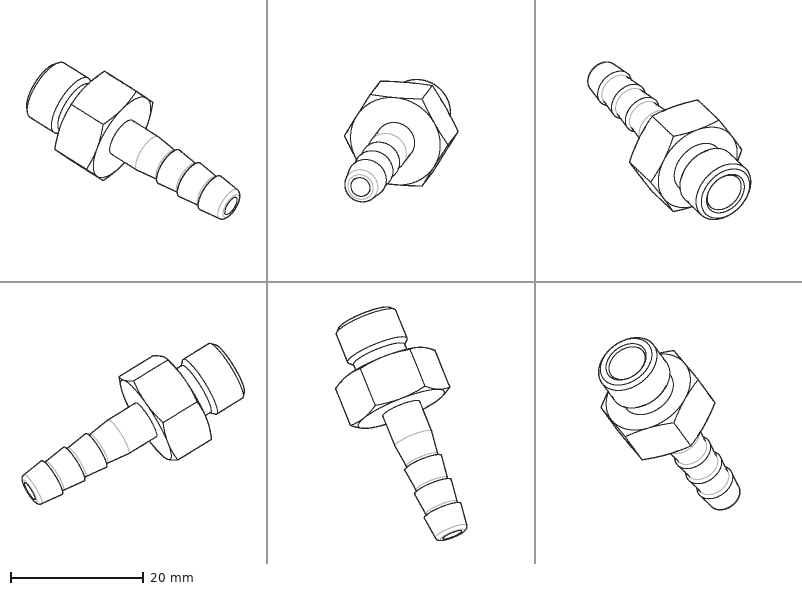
import cadquery as cq
import math

length = 36.0

thread_diameter = 9.72
thread_lead_chamfer = 0.58
thread_end = 5.25
neck_diameter = 8.35

hex_start = 8.0
hex_end = 15.0
hex_across_flats = 14.0
hex_chamfer_angle = 22.0

tail_diameter = 6.0
barb_count = 4
barb_pitch = 4.0
barb_start = length - barb_count * barb_pitch
barb_taper_angle = 7.0
tip_fillet = 0.6

small_bore_diameter = 3.0
large_bore_diameter = 6.0
mouth_diameter = 6.7
large_bore_depth = 10.8
drill_point_angle = 90.0


def revolve_about_x(points):
    """Solid of revolution about X from (x, radius) points."""
    profile = cq.Workplane("XY").polyline(points).close()
    return profile.revolve(360, (0, 0, 0), (1, 0, 0))


def make_threaded_end():
    thread_radius = thread_diameter / 2
    neck_radius = neck_diameter / 2
    neck_start = thread_end + thread_radius - neck_radius
    return revolve_about_x([
        (0, 0),
        (0, thread_radius - thread_lead_chamfer),
        (thread_lead_chamfer, thread_radius),
        (thread_end, thread_radius),
        (neck_start, neck_radius),
        (hex_end, neck_radius),
        (hex_end, 0),
    ])


def make_hexagon():
    flat_radius = hex_across_flats / 2
    corner_radius = flat_radius / math.cos(math.pi / 6)
    prism = (
        cq.Workplane("YZ", origin=(hex_start, 0, 0))
        .polygon(6, 2 * corner_radius)
        .extrude(hex_end - hex_start)
    )
    middle = (hex_start + hex_end) / 2
    slope = math.tan(math.radians(hex_chamfer_angle))
    middle_radius = flat_radius + (middle - hex_start) / slope
    trimming_cones = revolve_about_x([
        (hex_start, 0),
        (hex_start, flat_radius),
        (middle, middle_radius),
        (hex_end, flat_radius),
        (hex_end, 0),
    ])
    return prism.intersect(trimming_cones)


def make_tail():
    crest_radius = tail_diameter / 2
    taper = math.radians(barb_taper_angle)
    arc_span_per_radius = 1 + math.sin(taper)
    arc_radius = barb_pitch * math.tan(taper) / (math.cos(taper) + arc_span_per_radius * math.tan(taper))
    valley_radius = crest_radius - arc_radius * math.cos(taper)
    taper_length = barb_pitch - arc_radius * arc_span_per_radius
    tip_radius = crest_radius - barb_pitch * math.tan(taper)

    profile = cq.Workplane("XY").moveTo(hex_start, 0).lineTo(hex_start, crest_radius)
    profile = profile.lineTo(barb_start, crest_radius)
    for barb in range(barb_count - 1):
        crest_x = barb_start + barb * barb_pitch
        profile = profile.lineTo(crest_x + taper_length, valley_radius)
        profile = profile.tangentArcPoint((crest_x + barb_pitch, crest_radius), relative=False)
    profile = profile.lineTo(length, tip_radius).lineTo(length, 0).close()

    tail = profile.revolve(360, (0, 0, 0), (1, 0, 0))
    return tail.faces(">X").edges().fillet(tip_fillet)


def make_bore():
    small_radius = small_bore_diameter / 2
    large_radius = large_bore_diameter / 2
    mouth_radius = mouth_diameter / 2
    mouth_depth = mouth_radius - large_radius
    point_length = (large_radius - small_radius) / math.tan(math.radians(drill_point_angle / 2))
    return revolve_about_x([
        (0, 0),
        (0, mouth_radius),
        (mouth_depth, large_radius),
        (large_bore_depth, large_radius),
        (large_bore_depth + point_length, small_radius),
        (length, small_radius),
        (length, 0),
    ])


result = make_threaded_end().union(make_hexagon()).union(make_tail()).cut(make_bore())